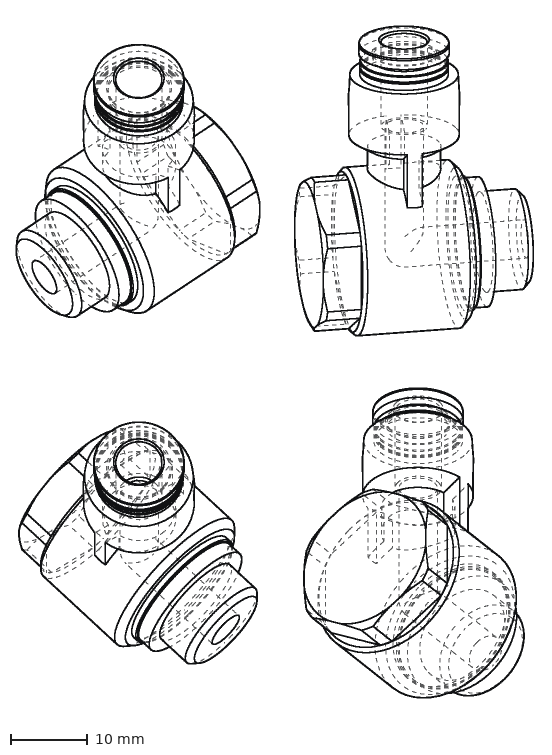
import cadquery as cq
import math

body_dia = 22
body_back = 7.55
body_front = -7.55
back_chamfer = 0.5
front_chamfer = 1.0

collar_dia = 17.7
collar_end = -8.5
collar_bevel = 0.15
seal_dia = 17.0
seal_end = -10.45
nose_dia = 13.15
nose_end = -16
nose_chamfer = 0.85

hex_flats = 18.9
hex_round_dia = 20.9
hex_end = 12.6
hex_chamfer_length = 0.55
hex_chamfer_radial = 0.9

neck_dia = 9.5
neck_top = 14.2
shell_dia = 14.4
shell_bottom = 15.75
cap_bottom = 21.2
cap_dia = 14.5
cap_top = 24.2
cap_top_dia = 14.1
insert_dia = 11.5
insert_top = 26.15
insert_bevel = 0.1
insert_groove_bottom = 25.1
insert_groove_top = 25.3
insert_groove_dia = 11.1
stem_dia = 8.1
flange_dia = 11.8
flange_bottom = 27.15
flange_side_top = 28.4
flange_rim = 28.65
flange_rim_dia = 11.65
port_top = 29.0
stem_flare = 0.2

rib_thickness = 2

bore_dia = 5.0
tube_dia = 6
tube_depth = 12
tube_chamfer = 0.3


def revolve_z(profile):
    """Solid of revolution about Z from (radius, height) points."""
    points = [(0, profile[0][1])] + profile + [(0, profile[-1][1])]
    outline = cq.Workplane("XZ").polyline(points).close()
    return outline.revolve(360, (0, 0, 0), (0, 1, 0))


def revolve_y(profile):
    """Solid of revolution about Y from (radius, position along Y) points."""
    points = [(0, profile[0][1])] + profile + [(0, profile[-1][1])]
    outline = cq.Workplane("XY").polyline(points).close()
    return outline.revolve(360, (0, 0, 0), (0, 1, 0))


def make_body():
    body_radius = body_dia / 2
    return revolve_y([
        (nose_dia / 2 - nose_chamfer, nose_end),
        (nose_dia / 2, nose_end + nose_chamfer),
        (nose_dia / 2, seal_end),
        (seal_dia / 2, seal_end),
        (seal_dia / 2, collar_end),
        (collar_dia / 2 - collar_bevel, collar_end),
        (collar_dia / 2, collar_end + collar_bevel),
        (collar_dia / 2, body_front),
        (body_radius - front_chamfer, body_front),
        (body_radius, body_front + front_chamfer),
        (body_radius, body_back - back_chamfer),
        (body_radius - back_chamfer, body_back),
    ])


def make_hex_head():
    corner_dia = hex_flats / math.cos(math.pi / 6)
    prism = (
        cq.Workplane("XZ", origin=(0, body_back, 0))
        .transformed(rotate=(0, 0, 90))
        .polygon(6, corner_dia)
        .extrude(body_back - hex_end)
    )
    round_radius = hex_round_dia / 2
    envelope = revolve_y([
        (round_radius, body_back),
        (round_radius, hex_end - hex_chamfer_length),
        (round_radius - hex_chamfer_radial, hex_end),
    ])
    return prism.intersect(envelope)


def make_port():
    return revolve_z([
        (neck_dia / 2, 0),
        (neck_dia / 2, neck_top),
        (shell_dia / 2, shell_bottom),
        (cap_dia / 2, cap_bottom),
        (cap_top_dia / 2, cap_top),
        (insert_dia / 2, cap_top),
        (insert_dia / 2, insert_groove_bottom),
        (insert_groove_dia / 2, insert_groove_bottom),
        (insert_groove_dia / 2, insert_groove_top),
        (insert_dia / 2, insert_groove_top),
        (insert_dia / 2, insert_top - insert_bevel),
        (insert_dia / 2 - insert_bevel, insert_top),
        (stem_dia / 2, insert_top),
        (stem_dia / 2, flange_bottom - stem_flare),
        (stem_dia / 2 + stem_flare, flange_bottom),
        (flange_dia / 2, flange_bottom),
        (flange_dia / 2, flange_side_top),
        (flange_rim_dia / 2, flange_rim),
        (tube_dia / 2 + tube_chamfer, port_top),
    ])


def make_ribs():
    plate = cq.Workplane("XY").box(
        shell_dia, rib_thickness, shell_bottom, centered=(True, True, False)
    )
    shell_column = cq.Workplane("XY").circle(shell_dia / 2).extrude(shell_bottom)
    return plate.intersect(shell_column)


def make_bores():
    bore_radius = bore_dia / 2
    tube_radius = tube_dia / 2
    elbow = cq.Workplane("XY").sphere(bore_radius)
    nose_bore = cq.Workplane("XZ").circle(bore_radius).extrude(-nose_end)
    port_bore = revolve_z([
        (bore_radius, 0),
        (bore_radius, port_top - tube_depth),
        (tube_radius, port_top - tube_depth),
        (tube_radius, port_top - tube_chamfer),
        (tube_radius + tube_chamfer, port_top),
    ])
    return elbow.union(nose_bore).union(port_bore)


outside = make_body().union(make_hex_head()).union(make_port()).union(make_ribs())
result = outside.cut(make_bores())